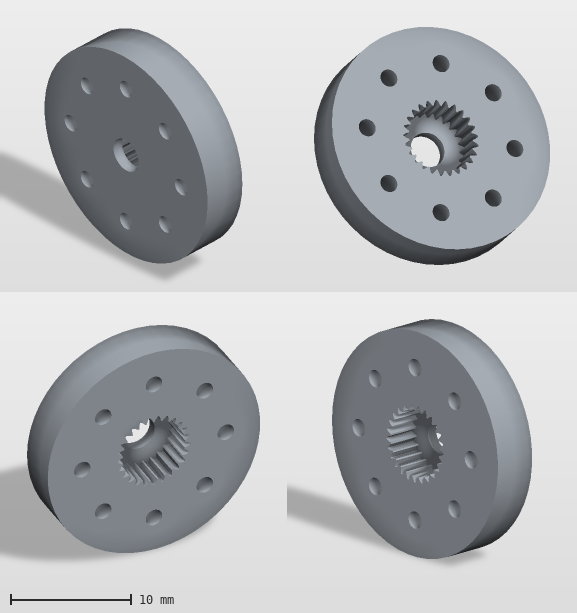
import cadquery as cq
import math

disc_diameter = 19.5
disc_thickness = 4.0

ring_hole_count = 8
ring_hole_diameter = 1.5
ring_radius = 6.6

bore_diameter = 3.0
bore_depth = 1.0
tooth_count = 25
tip_radius = 2.87
root_radius = 3.35
tip_share = 0.2
root_share = 0.1
flank_bulge = 0.06

tooth_pitch = 2 * math.pi / tooth_count
front_y = -disc_thickness / 2
socket_depth = disc_thickness - bore_depth


def polar_point(radius, angle):
    return (radius * math.cos(angle), radius * math.sin(angle))


def flank_midpoint(start, end):
    """Middle of a flank arc, set off the chord so that the groove sides curve like gear teeth."""
    chord_x = end[0] - start[0]
    chord_y = end[1] - start[1]
    middle_x = (start[0] + end[0]) / 2 + flank_bulge * chord_y
    middle_y = (start[1] + end[1]) / 2 - flank_bulge * chord_x
    return (middle_x, middle_y)


def spline_outline(plane):
    """Closed outline of the toothed socket, with one tooth tip pointing down from the top."""
    half_tip = tip_share * tooth_pitch / 2
    half_root = root_share * tooth_pitch / 2
    first_angle = math.pi / 2
    outline = plane.moveTo(*polar_point(tip_radius, first_angle - half_tip))
    for tooth in range(tooth_count):
        tip_angle = first_angle + tooth * tooth_pitch
        root_angle = tip_angle + tooth_pitch / 2
        tip_end = polar_point(tip_radius, tip_angle + half_tip)
        root_start = polar_point(root_radius, root_angle - half_root)
        root_end = polar_point(root_radius, root_angle + half_root)
        next_tip = polar_point(tip_radius, tip_angle + tooth_pitch - half_tip)
        outline = (
            outline.lineTo(*tip_end)
            .threePointArc(flank_midpoint(tip_end, root_start), root_start)
            .lineTo(*root_end)
            .threePointArc(flank_midpoint(root_end, next_tip), next_tip)
        )
    return outline.close()


front_face = cq.Workplane("XZ", origin=(0, front_y, 0))
socket_floor = cq.Workplane("XZ", origin=(0, front_y + bore_depth, 0))

disc = front_face.circle(disc_diameter / 2).extrude(-disc_thickness)
bore = front_face.circle(bore_diameter / 2).extrude(-disc_thickness)
ring_holes = (
    front_face.polarArray(ring_radius, 0, 360, ring_hole_count)
    .circle(ring_hole_diameter / 2)
    .extrude(-disc_thickness)
)
socket = spline_outline(socket_floor).extrude(-socket_depth)

result = disc.cut(bore).cut(ring_holes).cut(socket)